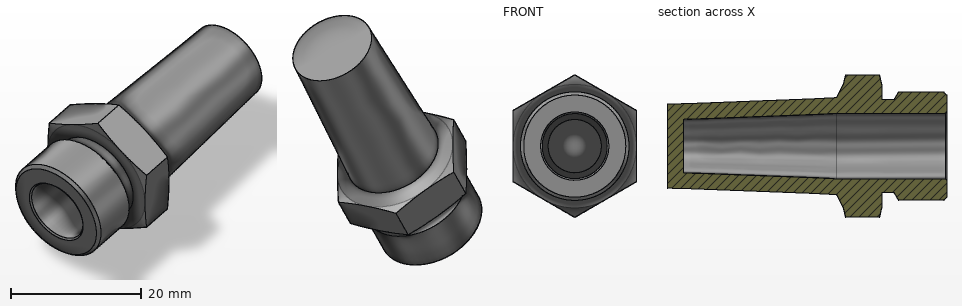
import cadquery as cq
import math

TOTAL_LENGTH = 43.0

THREAD_DIAMETER = 16.7
THREAD_LENGTH = 7.5
THREAD_END_CHAMFER = 0.5
GROOVE_DIAMETER = 14.4
GROOVE_FLANK_ANGLE = 30.0

HEX_SIDES = 6
HEX_HALF_SIDE_ANGLE = 180.0 / HEX_SIDES
HEX_ACROSS_FLATS = 19.0
HEX_START = 10.0
HEX_END = 17.0
HEX_CHAMFER_ANGLE = 15.0

SHOULDER_LENGTH = 1.0

SLEEVE_BASE_DIAMETER = 15.0
SLEEVE_TIP_DIAMETER = 13.0

BORE_DIAMETER = 10.0
BORE_MOUTH_CHAMFER = 0.25
WALL = (SLEEVE_BASE_DIAMETER - BORE_DIAMETER) / 2
BORE_DEPTH = TOTAL_LENGTH - WALL


def rise(radial_step, angle):
    """Axial length of a cone that covers radial_step, its angle taken from the end face."""
    return radial_step * math.tan(math.radians(angle))


def revolve_about_y(points):
    """Turn a closed (radius, Y) outline about the Y axis."""
    return cq.Workplane("XY").polyline(points).close().revolve(360, (0, 0, 0), (0, 1, 0))


def make_spigot():
    radius = THREAD_DIAMETER / 2
    groove_radius = GROOVE_DIAMETER / 2
    groove_start = THREAD_LENGTH + rise(radius - groove_radius, GROOVE_FLANK_ANGLE)
    return revolve_about_y([
        (0, 0),
        (radius - THREAD_END_CHAMFER, 0),
        (radius, THREAD_END_CHAMFER),
        (radius, THREAD_LENGTH),
        (groove_radius, groove_start),
        (groove_radius, HEX_START),
        (0, HEX_START),
    ])


def make_hexagon():
    flat_radius = HEX_ACROSS_FLATS / 2
    corner_radius = flat_radius / math.cos(math.radians(HEX_HALF_SIDE_ANGLE))
    corner_chamfer = rise(corner_radius - flat_radius, HEX_CHAMFER_ANGLE)
    shoulder_start = HEX_END - SHOULDER_LENGTH

    prism = (
        cq.Workplane("XZ", origin=(0, HEX_START, 0))
        .transformed(rotate=(0, 0, HEX_HALF_SIDE_ANGLE))
        .polygon(HEX_SIDES, 2 * corner_radius)
        .extrude(HEX_START - HEX_END)
    )
    turned_envelope = revolve_about_y([
        (0, HEX_START),
        (flat_radius, HEX_START),
        (corner_radius, HEX_START + corner_chamfer),
        (corner_radius, shoulder_start - corner_chamfer),
        (flat_radius, shoulder_start),
        (SLEEVE_BASE_DIAMETER / 2, HEX_END),
        (0, HEX_END),
    ])
    return prism.intersect(turned_envelope)


def make_sleeve():
    return revolve_about_y([
        (0, HEX_END),
        (SLEEVE_BASE_DIAMETER / 2, HEX_END),
        (SLEEVE_TIP_DIAMETER / 2, TOTAL_LENGTH),
        (0, TOTAL_LENGTH),
    ])


def make_bore():
    radius = BORE_DIAMETER / 2
    sleeve_slope = (SLEEVE_BASE_DIAMETER - SLEEVE_TIP_DIAMETER) / 2 / (TOTAL_LENGTH - HEX_END)
    floor_radius = radius - sleeve_slope * (BORE_DEPTH - HEX_END)
    return revolve_about_y([
        (0, 0),
        (radius + BORE_MOUTH_CHAMFER, 0),
        (radius, BORE_MOUTH_CHAMFER),
        (radius, HEX_END),
        (floor_radius, BORE_DEPTH),
        (0, BORE_DEPTH),
    ])


result = make_spigot().union(make_hexagon()).union(make_sleeve()).cut(make_bore())